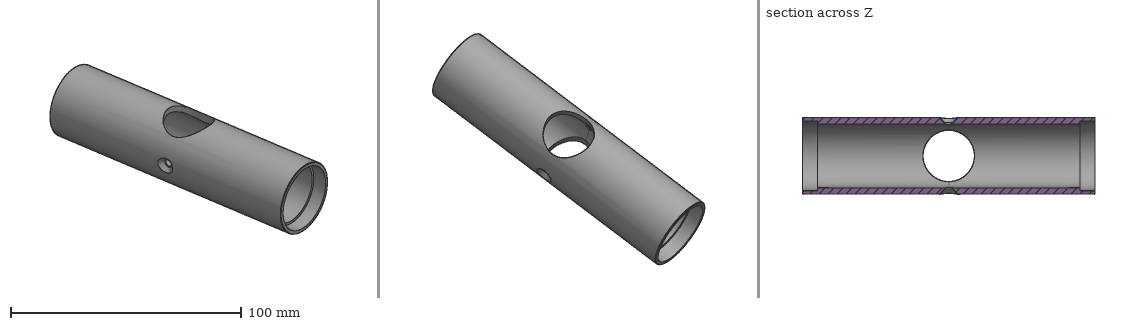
import cadquery as cq

length = 127.0
outer_diameter = 33.4
bore_diameter = 27.7
end_chamfer = 0.3

socket_diameter = 30.1
socket_depth = 6.5

cross_hole_diameter = 22.2

screw_hole_diameter = 3.5
countersink_diameter = 8.1
countersink_depth = (countersink_diameter - screw_hole_diameter) / 2

outer_radius = outer_diameter / 2


def tube():
    body = cq.Workplane("YZ").circle(outer_radius).extrude(length / 2, both=True)
    body = body.edges().chamfer(end_chamfer)
    bore = cq.Workplane("YZ").circle(bore_diameter / 2).extrude(length / 2, both=True)
    return body.cut(bore)


def socket(side):
    """Socket at the end on the given side of the X axis (-1 or 1)."""
    return (
        cq.Workplane("YZ", origin=(side * length / 2, 0, 0))
        .circle(socket_diameter / 2)
        .extrude(-side * socket_depth)
    )


def cross_hole():
    return cq.Workplane("XY").circle(cross_hole_diameter / 2).extrude(outer_radius, both=True)


def screw_hole(side):
    """Countersunk hole through the wall on the given side of the Y axis (-1 or 1)."""
    half_profile = [
        (0, 0),
        (screw_hole_diameter / 2, 0),
        (screw_hole_diameter / 2, side * (outer_radius - countersink_depth)),
        (countersink_diameter / 2, side * outer_radius),
        (0, side * outer_radius),
    ]
    return cq.Workplane("XY").polyline(half_profile).close().revolve(360, (0, 0, 0), (0, 1, 0))


result = tube().cut(cross_hole())
for side in (-1, 1):
    result = result.cut(socket(side)).cut(screw_hole(side))